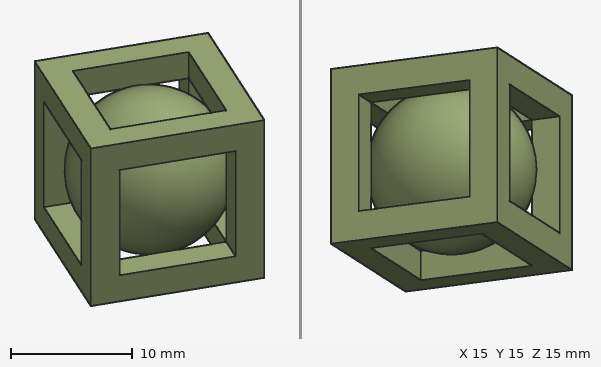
import cadquery as cq

cube_side = 15.0
window_side = 10.0
ball_diameter = 14.0


def make_cage():
    """Cube centred on the origin, with a square window through it along each axis."""
    cage = cq.Workplane("XY").box(cube_side, cube_side, cube_side)
    for plane in ("XY", "YZ", "XZ"):
        window = (
            cq.Workplane(plane)
            .rect(window_side, window_side)
            .extrude(cube_side / 2, both=True)
        )
        cage = cage.cut(window)
    return cage


def make_ball():
    """Loose ball held captive at the centre of the cage."""
    return cq.Workplane("XY").sphere(ball_diameter / 2)


cage = make_cage()
ball = make_ball()

result = cq.Compound.makeCompound([cage.solids().val(), ball.val()])